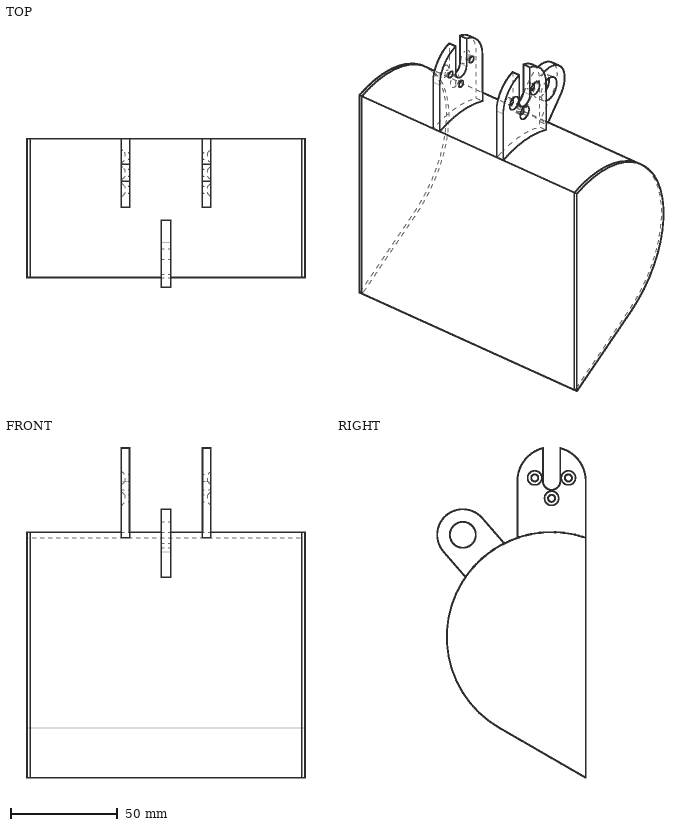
import cadquery as cq
import math

overall_height = 154.3
bucket_width = 130.0
bucket_radius = 49.0
flat_face_y = 16.0
floor_angle = math.radians(30)
end_plate_thickness = 1.5

ear_thickness = 4.0
ear_spacing = 38.0
ear_radius = flat_face_y
slot_width = 8.0

screw_circle_radius = 8.0
screw_angles = (11, 169, 270)
screw_diameter = 3.2
countersink_diameter = 6.6
countersink_angle = 90

lug_thickness = 4.6
lug_radius = 12.0
lug_hole_diameter = 12.0
lug_distance = 63.3
lug_elevation = 49

tip_z = -bucket_radius / math.cos(floor_angle) - flat_face_y * math.tan(floor_angle)
slot_half = slot_width / 2
ear_center_z = overall_height + tip_z - math.sqrt(ear_radius**2 - slot_half**2)
body_width = bucket_width - 2 * end_plate_thickness


def bucket_slice(start_x, width):
    """Bucket profile: flat +Y face, round wall and a straight floor tangent to it."""
    wall_top_z = math.sqrt(bucket_radius**2 - flat_face_y**2)
    floor_start = (-bucket_radius * math.sin(floor_angle), -bucket_radius * math.cos(floor_angle))
    return (
        cq.Workplane("YZ", origin=(start_x, 0, 0))
        .moveTo(flat_face_y, wall_top_z)
        .threePointArc((-bucket_radius, 0), floor_start)
        .lineTo(flat_face_y, tip_z)
        .close()
        .extrude(width)
    )


def wall_cylinder():
    """Full cylinder of the round wall, used to shape the feet of ears and lug."""
    return cq.Workplane("YZ").circle(bucket_radius).extrude(bucket_width / 2, both=True)


def make_ear(side):
    """Round-topped ear with an open slot; side is -1 or +1, countersinks face outward."""
    center_x = side * ear_spacing / 2
    half_thickness = ear_thickness / 2
    slot_top_z = overall_height + tip_z
    shoulder = ear_radius * math.sqrt(0.5)
    outline = (
        cq.Workplane("YZ", origin=(center_x, 0, 0))
        .moveTo(-ear_radius, 0)
        .lineTo(-ear_radius, ear_center_z)
        .threePointArc((-shoulder, ear_center_z + shoulder), (-slot_half, slot_top_z))
        .lineTo(-slot_half, ear_center_z)
        .threePointArc((0, ear_center_z - slot_half), (slot_half, ear_center_z))
        .lineTo(slot_half, slot_top_z)
        .threePointArc((shoulder, ear_center_z + shoulder), (ear_radius, ear_center_z))
        .lineTo(ear_radius, 0)
        .close()
    )
    ear = outline.extrude(half_thickness, both=True).cut(wall_cylinder())

    outer_x = center_x + side * half_thickness
    outer_face = cq.Workplane(
        cq.Plane(origin=(outer_x, 0, ear_center_z), xDir=(0, side, 0), normal=(side, 0, 0))
    )
    screw_points = [
        (
            screw_circle_radius * math.cos(math.radians(angle)),
            screw_circle_radius * math.sin(math.radians(angle)),
        )
        for angle in screw_angles
    ]
    return (
        outer_face.add(ear)
        .pushPoints(screw_points)
        .cskHole(screw_diameter, countersink_diameter, countersink_angle)
    )


def make_lug():
    """Lug built pointing toward -Y, then tilted up to its elevation."""
    outline = (
        cq.Workplane("YZ")
        .moveTo(0, lug_radius)
        .lineTo(-lug_distance, lug_radius)
        .threePointArc((-lug_distance - lug_radius, 0), (-lug_distance, -lug_radius))
        .lineTo(0, -lug_radius)
        .close()
        .moveTo(-lug_distance, 0)
        .circle(lug_hole_diameter / 2)
    )
    lug = outline.extrude(lug_thickness / 2, both=True).cut(wall_cylinder())
    return lug.rotate((0, 0, 0), (1, 0, 0), -lug_elevation)


bucket_body = bucket_slice(-body_width / 2, body_width)
end_plates = [
    bucket_slice(start_x, end_plate_thickness) for start_x in (-bucket_width / 2, body_width / 2)
]
ears = [make_ear(side) for side in (-1, 1)]
lug = make_lug()

result = cq.Compound.makeCompound(
    [
        bucket_body.val(),
        *[plate.val() for plate in end_plates],
        *[ear.solids().val() for ear in ears],
        lug.solids().val(),
    ]
)